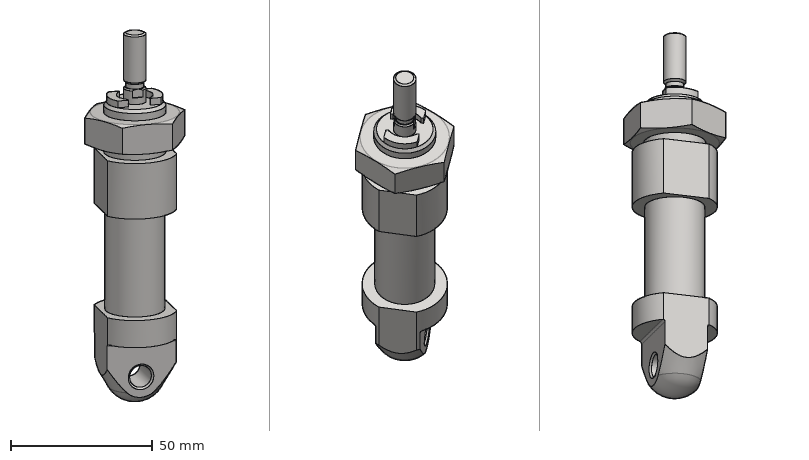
import cadquery as cq
import math


PIVOT_DIA = 8.0
PIVOT_CHAMFER = 0.7
EYE_RADIUS = 11.0
EYE_CONE_ANGLE = 60.0
TANG_THICKNESS = 16.0
TANG_ROOT_FILLET = 0.8

CAP_DIA = 30.2
CAP_FRONT_FLAT = 12.5
CAP_BACK_FLAT = 13.5
REAR_CAP_BOTTOM = 13.0
REAR_CAP_LENGTH = 10.0
TUBE_DIA = 21.3
TUBE_LENGTH = 37.5
FRONT_CAP_LENGTH = 20.5

NECK_DIA = 22.0
NECK_LENGTH = 18.5
NECK_TIP_DIA = 20.0
NECK_CHAMFER_LENGTH = 1.2
LUG_WIDTH = 12.0
LUG_HEIGHT = 2.5
LUG_GAP = 8.2
LUG_BORE_DIA = 13.0

NUT_ACROSS_FLATS = 32.0
NUT_HEIGHT = 11.0
NUT_GAP = 3.6
NUT_FACE_DIA = 31.6
NUT_CHAMFER_ANGLE = 15.0

ROD_DIA = 8.0
ROD_THREAD_LENGTH = 17.5
ROD_CORE_DIA = 6.4
ROD_SHOULDER_DEPTH = 20.0
ROD_TOP = 125.0
ROD_TIP_CHAMFER_LENGTH = 0.5
ROD_SHOULDER_CHAMFER = 0.5
ROD_ACROSS_FLATS = 7.0
ROD_FLAT_END_DEPTH = 23.0

rear_cap_top = REAR_CAP_BOTTOM + REAR_CAP_LENGTH
front_cap_bottom = rear_cap_top + TUBE_LENGTH
front_cap_top = front_cap_bottom + FRONT_CAP_LENGTH
neck_top = front_cap_top + NECK_LENGTH
nut_bottom = front_cap_top + NUT_GAP


def cylinder(diameter, bottom, height):
    return cq.Workplane("XY").workplane(offset=bottom).circle(diameter / 2).extrude(height)


def revolve_about_z(profile):
    """Turn a closed profile of (radius, z) points on the XZ plane about Z."""
    return profile.close().revolve(360, (0, 0, 0), (0, 1, 0))


def flatted_cap(bottom, height):
    """Round cap cut flat at -Y and +Y."""
    flats = (
        cq.Workplane("XY")
        .workplane(offset=bottom)
        .moveTo(0, (CAP_BACK_FLAT - CAP_FRONT_FLAT) / 2)
        .rect(CAP_DIA, CAP_BACK_FLAT + CAP_FRONT_FLAT)
        .extrude(height)
    )
    return cylinder(CAP_DIA, bottom, height).intersect(flats)


def eye_envelope():
    """Ball tip that runs tangentially into a cone, up to the rear cap."""
    angle = math.radians(EYE_CONE_ANGLE)
    cap_radius = CAP_DIA / 2
    seam_radius = EYE_RADIUS * math.sin(angle)
    seam_z = -EYE_RADIUS * math.cos(angle)
    cone_end_z = seam_z + (cap_radius - seam_radius) * math.tan(angle)
    arc_mid = (EYE_RADIUS * math.sin(angle / 2), -EYE_RADIUS * math.cos(angle / 2))
    return revolve_about_z(
        cq.Workplane("XZ")
        .moveTo(0, -EYE_RADIUS)
        .threePointArc(arc_mid, (seam_radius, seam_z))
        .lineTo(cap_radius, cone_end_z)
        .lineTo(cap_radius, REAR_CAP_BOTTOM)
        .lineTo(0, REAR_CAP_BOTTOM)
    )


def clevis_eye():
    """Flat tang with the rounded tip and the chamfered pivot hole along X."""
    tang_height = REAR_CAP_BOTTOM + EYE_RADIUS
    tang_base = cq.Workplane("XY").workplane(offset=-EYE_RADIUS)
    slab = tang_base.rect(TANG_THICKNESS, CAP_DIA).extrude(tang_height)
    tang = flatted_cap(-EYE_RADIUS, tang_height).intersect(slab).intersect(eye_envelope())
    half_thickness = TANG_THICKNESS / 2
    hole_radius = PIVOT_DIA / 2
    mouth_radius = hole_radius + PIVOT_CHAMFER
    inner_end = half_thickness - PIVOT_CHAMFER
    pivot_hole = (
        cq.Workplane("XY")
        .moveTo(-half_thickness, 0)
        .lineTo(-half_thickness, mouth_radius)
        .lineTo(-inner_end, hole_radius)
        .lineTo(inner_end, hole_radius)
        .lineTo(half_thickness, mouth_radius)
        .lineTo(half_thickness, 0)
        .close()
        .revolve(360, (0, 0, 0), (1, 0, 0))
    )
    return tang.cut(pivot_hole)


def lower_end():
    """Clevis eye and rear cap, filleted where the tang faces meet the cap."""
    half_thickness = TANG_THICKNESS / 2
    eye_and_cap = clevis_eye().union(flatted_cap(REAR_CAP_BOTTOM, REAR_CAP_LENGTH))
    for side in (-1, 1):
        root = cq.selectors.NearestToPointSelector((side * half_thickness, 0, REAR_CAP_BOTTOM))
        eye_and_cap = eye_and_cap.edges("|Y").edges(root).fillet(TANG_ROOT_FILLET)
    return eye_and_cap


def threaded_neck():
    """Neck with a chamfered upper rim."""
    rim_z = neck_top - NECK_CHAMFER_LENGTH
    return revolve_about_z(
        cq.Workplane("XZ")
        .moveTo(0, front_cap_top)
        .lineTo(NECK_DIA / 2, front_cap_top)
        .lineTo(NECK_DIA / 2, rim_z)
        .lineTo(NECK_TIP_DIA / 2, neck_top)
        .lineTo(0, neck_top)
    )


def wrench_lugs():
    """Two lugs on the neck face, either side of the rod."""
    face = cq.Workplane("XY").workplane(offset=neck_top)
    lugs = cylinder(NECK_TIP_DIA, neck_top, LUG_HEIGHT)
    lugs = lugs.intersect(face.rect(LUG_WIDTH, NECK_TIP_DIA).extrude(LUG_HEIGHT))
    lugs = lugs.cut(face.rect(LUG_WIDTH, LUG_GAP).extrude(LUG_HEIGHT))
    return lugs.cut(cylinder(LUG_BORE_DIA, neck_top, LUG_HEIGHT))


def make_housing():
    return (
        lower_end()
        .union(cylinder(TUBE_DIA, rear_cap_top, TUBE_LENGTH))
        .union(flatted_cap(front_cap_bottom, FRONT_CAP_LENGTH))
        .union(threaded_neck())
        .union(wrench_lugs())
    )


def make_nut():
    """Hexagon with flats facing +-X, corners chamfered at both ends."""
    corner_radius = NUT_ACROSS_FLATS / math.sqrt(3)
    face_radius = NUT_FACE_DIA / 2
    drop = (corner_radius - face_radius) * math.tan(math.radians(NUT_CHAMFER_ANGLE))
    nut_top = nut_bottom + NUT_HEIGHT
    hexagon = (
        cq.Workplane("XY")
        .workplane(offset=nut_bottom)
        .polygon(6, 2 * corner_radius)
        .extrude(NUT_HEIGHT)
        .rotate((0, 0, 0), (0, 0, 1), 30)
    )
    chamfer_envelope = revolve_about_z(
        cq.Workplane("XZ")
        .moveTo(0, nut_bottom)
        .lineTo(face_radius, nut_bottom)
        .lineTo(corner_radius, nut_bottom + drop)
        .lineTo(corner_radius, nut_top - drop)
        .lineTo(face_radius, nut_top)
        .lineTo(0, nut_top)
    )
    return hexagon.intersect(chamfer_envelope).cut(cylinder(NECK_DIA, nut_bottom, NUT_HEIGHT))


def make_rod():
    """Rod standing on the neck face: threaded end, undercut and two wrench flats."""
    rod_radius = ROD_DIA / 2
    core_radius = ROD_CORE_DIA / 2
    undercut_taper = rod_radius - core_radius
    thread_end = ROD_TOP - ROD_THREAD_LENGTH
    shoulder = ROD_TOP - ROD_SHOULDER_DEPTH
    rod = revolve_about_z(
        cq.Workplane("XZ")
        .moveTo(0, neck_top)
        .lineTo(rod_radius, neck_top)
        .lineTo(rod_radius, shoulder - ROD_SHOULDER_CHAMFER)
        .lineTo(rod_radius - ROD_SHOULDER_CHAMFER, shoulder)
        .lineTo(core_radius, shoulder)
        .lineTo(core_radius, thread_end - undercut_taper)
        .lineTo(rod_radius, thread_end)
        .lineTo(rod_radius, ROD_TOP - ROD_TIP_CHAMFER_LENGTH)
        .lineTo(core_radius, ROD_TOP)
        .lineTo(0, ROD_TOP)
    )
    flat_depth = (ROD_DIA - ROD_ACROSS_FLATS) / 2
    flat_length = ROD_FLAT_END_DEPTH - ROD_SHOULDER_DEPTH
    for side in (-1, 1):
        flat_cutter = cq.Workplane("XY").box(flat_depth, ROD_DIA, flat_length).translate(
            (side * (rod_radius - flat_depth / 2), 0, shoulder - flat_length / 2)
        )
        rod = rod.cut(flat_cutter)
    return rod


housing = make_housing()
nut = make_nut()
rod = make_rod()

result = cq.Compound.makeCompound([housing.val(), nut.val(), rod.val()])